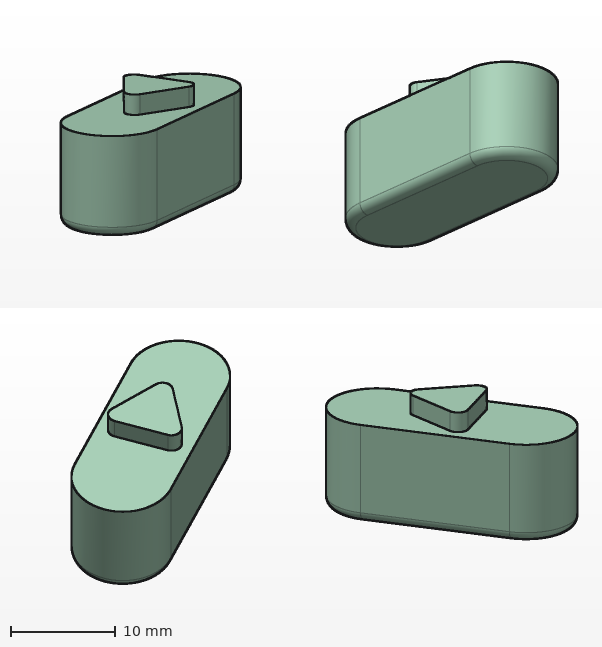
import cadquery as cq
import math

length = 24.8
width = 9.8
total_height = 12.0
boss_height = 2.0
bottom_fillet = 1.0
boss_corner_radius = 1.0
boss_inradius = 2.55

body_height = total_height - boss_height


def make_body():
    """Upright block with semicircular ends and a rounded bottom rim."""
    body = cq.Workplane("XY").slot2D(length, width, 90).extrude(body_height)
    return body.faces("<Z").edges().fillet(bottom_fillet)


def make_pointer():
    """Equilateral triangular boss with rounded corners, pointing toward -Y."""
    tip_distance = 2 * boss_inradius
    half_side = boss_inradius * math.sqrt(3)
    corners = [
        (0, -tip_distance),
        (half_side, boss_inradius),
        (-half_side, boss_inradius),
    ]
    pointer = cq.Workplane("XY").workplane(offset=body_height).polyline(corners).close().extrude(boss_height)
    return pointer.edges("|Z").fillet(boss_corner_radius)


result = make_body().union(make_pointer())